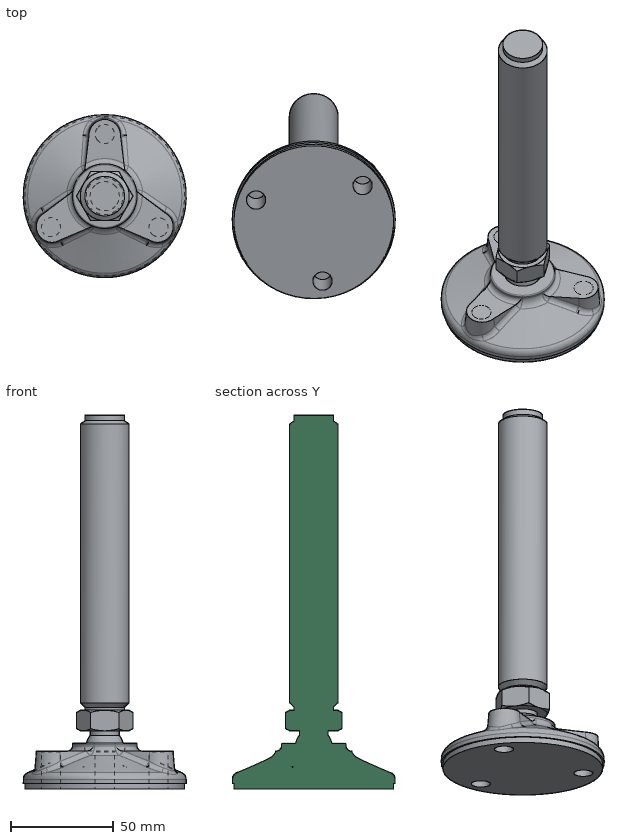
import cadquery as cq
import math

total_height = 183.3

sole_dia = 78.3
sole_height = 2.7
base_dia = 80.0
cone_angle = 24.0
cone_rim_height = 7.1
rim_fillet = 3.7
collar_dia = 31.7
collar_top = 22.5
collar_edge_fillet = 0.5
collar_cone_fillet = 5.0
collar_boss_fillet = 2.5

boss_count = 3
first_boss_angle = 90.0
boss_top = 18.7
boss_sketch_height = 4.5
boss_end_center = 29.9
boss_end_radius = 8.8
boss_taper = 7.0
boss_draft = 4.5
boss_foot_fillet = 3.0

hole_circle_radius = 30.5
hole_dia = 9.3
hole_roof = 0.5

ball_dia = 18.5
ball_center = 20.5
stem_dia = 14.3

hex_flats = 24.0
hex_bottom = 28.6
hex_top = 38.7
hex_chamfer_angle = 30.0

spindle_dia = 24.0
undercut_dia = 19.5
spindle_bottom = 42.3
tip_length = 2.7
tip_chamfer = 1.6

base_radius = base_dia / 2
collar_radius = collar_dia / 2
blank_top = collar_top + 7.3
boss_angles = [first_boss_angle + i * 360 / boss_count for i in range(boss_count)]


def turn(profile):
    """Revolve a closed XZ profile about Z, with the seam under the first boss."""
    solid = profile.revolve(360, (0, 0), (0, 1))
    return solid.rotate((0, 0, 0), (0, 0, 1), first_boss_angle)


def circles_at(height):
    """Selector for the horizontal circular edges at one height."""
    reach = base_dia
    slack = 0.02
    low = (-reach, -reach, height - slack)
    high = (reach, reach, height + slack)
    return cq.selectors.BoxSelector(low, high, boundingbox=True)


def make_plate_blank():
    """Sole and conical plate with a column that is later cut down to the collar."""
    cone_rise = (base_radius - collar_radius) * math.tan(math.radians(cone_angle))
    collar_foot = cone_rim_height + cone_rise
    outline = [
        (0, 0),
        (sole_dia / 2, 0),
        (sole_dia / 2, sole_height),
        (base_radius, sole_height),
        (base_radius, cone_rim_height),
        (collar_radius, collar_foot),
        (collar_radius, blank_top),
        (0, blank_top),
    ]
    plate = turn(cq.Workplane("XZ").polyline(outline).close())
    plate = plate.edges(circles_at(cone_rim_height)).fillet(rim_fillet)
    return plate.edges(circles_at(collar_foot)).fillet(collar_cone_fillet)


def make_boss_blank(angle):
    """Drafted boss, widening from its round end towards the axis."""
    root_half_width = boss_end_radius + boss_end_center * math.tan(math.radians(boss_taper))
    blank = (
        cq.Workplane("XY", origin=(0, 0, boss_sketch_height))
        .moveTo(0, -root_half_width)
        .lineTo(boss_end_center, -boss_end_radius)
        .threePointArc((boss_end_center + boss_end_radius, 0), (boss_end_center, boss_end_radius))
        .lineTo(0, root_half_width)
        .close()
        .extrude(blank_top - boss_sketch_height, taper=boss_draft)
    )
    return blank.rotate((0, 0, 0), (0, 0, 1), angle)


def is_boss_foot(edge):
    """True for the sloping edges where a boss meets the plate or the column."""
    box = edge.BoundingBox()
    center = edge.Center()
    above_rim = box.zmin > cone_rim_height
    sloping = box.zlen > 0.1
    near_end = abs(math.hypot(center.x, center.y) - boss_end_center) < 1.8
    on_end_wall = near_end and box.zmax > blank_top - 0.02
    return above_rim and sloping and not on_end_wall


def make_trim():
    """Space above the bosses and the collar, with the fillet between them."""
    fillet_top = boss_top + collar_boss_fillet
    fillet_end = collar_radius + collar_boss_fillet
    inset = collar_boss_fillet * (1 - math.sqrt(0.5))
    return turn(
        cq.Workplane("XZ")
        .moveTo(0, collar_top)
        .lineTo(collar_radius, collar_top)
        .lineTo(collar_radius, fillet_top)
        .threePointArc((collar_radius + inset, boss_top + inset), (fillet_end, boss_top))
        .lineTo(base_dia, boss_top)
        .lineTo(base_dia, blank_top + 1.8)
        .lineTo(0, blank_top + 1.8)
        .close()
    )


def make_holes():
    """Blind holes from below that stop just under the boss tops."""
    return (
        cq.Workplane("XY")
        .polarArray(hole_circle_radius, first_boss_angle, 360, boss_count)
        .circle(hole_dia / 2)
        .extrude(boss_top - hole_roof)
    )


def make_base():
    """Plate with filleted bosses, trimmed to height, and the blind holes."""
    body = make_plate_blank()
    for angle in boss_angles:
        body = body.union(make_boss_blank(angle))
    feet = [edge for edge in body.edges().vals() if is_boss_foot(edge)]
    body = body.newObject(feet).fillet(boss_foot_fillet)
    body = body.cut(make_trim())
    body = body.edges(circles_at(collar_top)).fillet(collar_edge_fillet)
    return body.cut(make_holes())


def make_spindle():
    """Ball, stem, undercut and plain spindle with a chamfered tip."""
    ball_radius = ball_dia / 2
    stem_radius = stem_dia / 2
    undercut_radius = undercut_dia / 2
    spindle_radius = spindle_dia / 2
    stem_angle = math.acos(stem_radius / ball_radius)
    ball_mid = (
        ball_radius * math.cos(stem_angle / 2),
        ball_center + ball_radius * math.sin(stem_angle / 2),
    )
    ball_end = (stem_radius, ball_center + ball_radius * math.sin(stem_angle))
    hex_middle = (hex_bottom + hex_top) / 2
    chamfer_top = total_height - tip_length
    return turn(
        cq.Workplane("XZ")
        .moveTo(0, ball_center)
        .lineTo(ball_radius, ball_center)
        .threePointArc(ball_mid, ball_end)
        .lineTo(stem_radius, hex_middle)
        .lineTo(undercut_radius, hex_middle)
        .lineTo(undercut_radius, spindle_bottom - (spindle_radius - undercut_radius))
        .lineTo(spindle_radius, spindle_bottom)
        .lineTo(spindle_radius, chamfer_top - tip_chamfer)
        .lineTo(undercut_radius, chamfer_top)
        .lineTo(undercut_radius, total_height)
        .lineTo(0, total_height)
        .close()
    )


def make_hexagon():
    """Hexagon with its corners chamfered at both ends."""
    corner_radius = hex_flats / math.sqrt(3)
    chamfer_width = corner_radius - hex_flats / 2
    chamfer_height = chamfer_width * math.tan(math.radians(hex_chamfer_angle))
    hex_height = hex_top - hex_bottom
    plane = cq.Workplane("XY", origin=(0, 0, hex_bottom))
    prism = plane.polygon(6, 2 * corner_radius).extrude(hex_height)
    turned = plane.circle(corner_radius).extrude(hex_height).edges().chamfer(chamfer_height, chamfer_width)
    return prism.intersect(turned)


result = make_base().union(make_spindle()).union(make_hexagon())